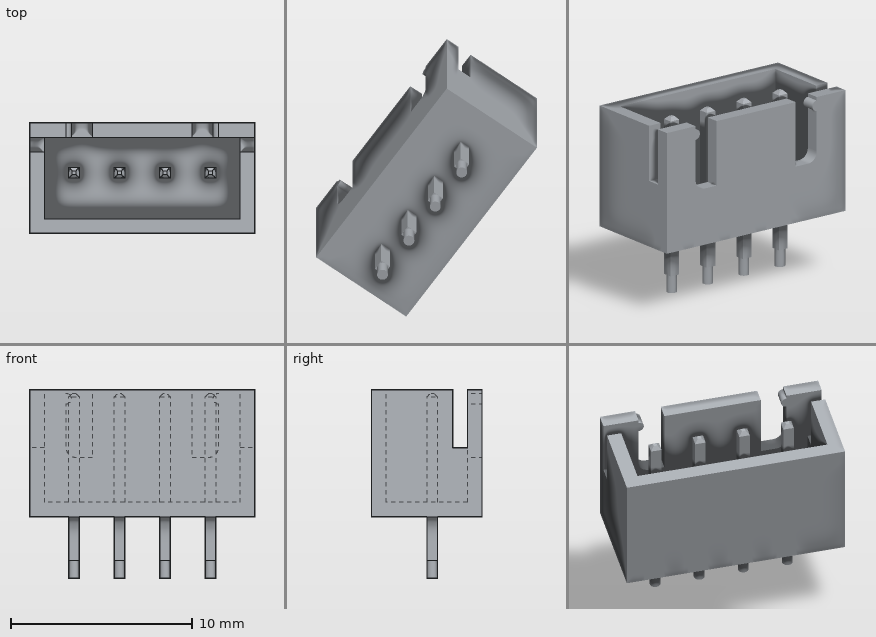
import cadquery as cq

length = 12.4
depth = 6.1
height = 7.0
wall = 0.8
floor_thickness = wall

tab_width = 2.0
rear_panel_width = 5.48
rear_notch_depth = 3.75
rear_notch_radius = 0.6
side_slot_depth = 3.2
bump_radius = 0.3
bump_drop = 0.5

pin_count = 4
pin_pitch = 2.5
pin_y = 3.35
pin_width = 0.6
pin_top = 6.8
tip_width = 0.21
tip_height = 0.2
tail_length = 3.4
round_tail_length = 1.0

tab_edge_x = length / 2 - tab_width
rear_wall_y = depth - wall


def box(x_min, x_max, y_min, y_max, z_min, z_max):
    """Axis-aligned block between the given limits."""
    size = (x_max - x_min, y_max - y_min, z_max - z_min)
    return cq.Workplane("XY").box(*size, centered=False).translate((x_min, y_min, z_min))


def make_shell():
    """Open-topped box with the side slots that free the tabs from the end walls."""
    half_length = length / 2
    half_cavity = half_length - wall
    outside = box(-half_length, half_length, 0, depth, 0, height)
    cavity = box(-half_cavity, half_cavity, wall, rear_wall_y, floor_thickness, height)
    side_slots = box(
        -half_length, half_length,
        rear_wall_y - wall, rear_wall_y,
        height - side_slot_depth, height,
    )
    return outside.cut(cavity).cut(side_slots)


def make_rear_notch():
    """Right-hand rear notch, rounded at the bottom corner beside the tab."""
    notch = box(
        rear_panel_width / 2, tab_edge_x,
        rear_wall_y, depth,
        height - rear_notch_depth, height,
    )
    return notch.edges("|Y and >X and <Z").fillet(rear_notch_radius)


def make_bump():
    """Round latch bump on the inner edge of the right-hand tab."""
    return (
        cq.Workplane("XZ", origin=(tab_edge_x, depth, height - bump_drop))
        .circle(bump_radius)
        .extrude(wall)
    )


def make_pin():
    """Square pin with a tapered tip above and a round tail end below."""
    shank_top = pin_top - tip_height
    shank_bottom = round_tail_length - tail_length
    shank = (
        cq.Workplane("XY", origin=(0, 0, shank_bottom))
        .rect(pin_width, pin_width)
        .extrude(shank_top - shank_bottom)
    )
    tip = (
        cq.Workplane("XY", origin=(0, 0, shank_top))
        .rect(pin_width, pin_width)
        .workplane(offset=tip_height)
        .rect(tip_width, tip_width)
        .loft(ruled=True)
    )
    round_tail = (
        cq.Workplane("XY", origin=(0, 0, -tail_length))
        .circle(pin_width / 2)
        .extrude(round_tail_length)
    )
    return shank.union(tip).union(round_tail)


result = make_shell()

notch = make_rear_notch()
result = result.cut(notch).cut(notch.mirror("YZ"))

bump = make_bump()
result = result.union(bump).union(bump.mirror("YZ"))

pin = make_pin()
for index in range(pin_count):
    pin_x = (index - (pin_count - 1) / 2) * pin_pitch
    result = result.union(pin.translate((pin_x, pin_y, 0)))